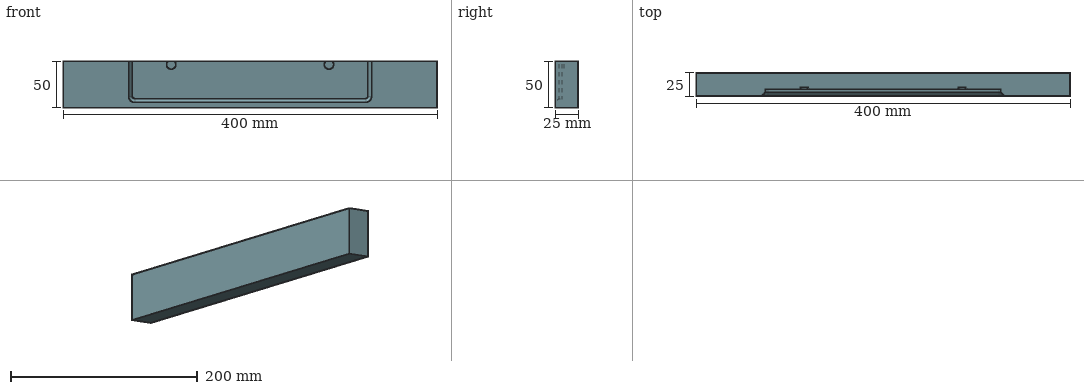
import cadquery as cq

length = 400.0
depth = 25.0
height = 50.0
front_y = -depth / 2

pocket_width = 252.0
pocket_height = 40.0
pocket_depth = 7.0
pocket_corner_radius = 2.5
rim_chamfer = 4.0

hole_diameter = 10.0
hole_spacing = 169.0
hole_drop = 3.5
hole_depth = 2.5

pocket_floor_y = front_y + pocket_depth


def pocket_outline(y, offset):
    """Closed U-shaped wire at the given Y, grown outward by offset."""
    half_width = pocket_width / 2 + offset
    bottom = height - pocket_height - offset
    radius = pocket_corner_radius + offset
    plane = cq.Plane(origin=(0, y, 0), xDir=(1, 0, 0), normal=(0, -1, 0))
    return (
        cq.Workplane(plane)
        .moveTo(-half_width, height)
        .lineTo(-half_width, bottom + radius)
        .radiusArc((-half_width + radius, bottom), -radius)
        .lineTo(half_width - radius, bottom)
        .radiusArc((half_width, bottom + radius), -radius)
        .lineTo(half_width, height)
        .close()
    )


def pocket_cutter():
    """Straight-walled pocket joined to its flared rim."""
    straight = pocket_outline(pocket_floor_y, 0).extrude(pocket_depth)
    rim_inner = pocket_outline(front_y + rim_chamfer, 0).wire().val()
    rim_outer = pocket_outline(front_y, rim_chamfer).wire().val()
    flare = cq.Solid.makeLoft([rim_inner, rim_outer], True)
    return straight.union(cq.Workplane(obj=flare))


def hole_cutter(x):
    """Round hole sunk into the pocket floor towards +Y."""
    centre = cq.Vector(x, pocket_floor_y, height - hole_drop)
    hole = cq.Solid.makeCylinder(hole_diameter / 2, hole_depth, centre, cq.Vector(0, 1, 0))
    return cq.Workplane(obj=hole)


result = cq.Workplane("XY").box(length, depth, height, centered=(True, True, False))
result = result.cut(pocket_cutter())
for side in (-1, 1):
    result = result.cut(hole_cutter(side * hole_spacing / 2))